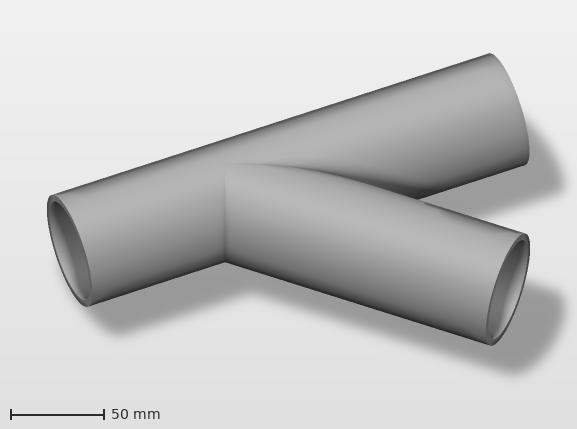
import cadquery as cq
import math

run_length = 254.0
outer_diameter = 63.0
wall_thickness = 3.8
inner_diameter = outer_diameter - 2 * wall_thickness
branch_angle = math.radians(45)
branch_length = 163.8
junction_from_end = 90.2

run_start = (0, -run_length / 2, 0)
run_direction = (0, 1, 0)
junction = (0, junction_from_end - run_length / 2, 0)
branch_direction = (math.sin(branch_angle), math.cos(branch_angle), 0)


def cylinder(start, direction, diameter, length):
    """Solid cylinder whose first end is centred on start."""
    plane = cq.Plane(origin=start, xDir=(0, 0, 1), normal=direction)
    return cq.Workplane(plane).circle(diameter / 2).extrude(length)


def pipe_system(diameter):
    """Run and branch cylinders of one diameter, joined at the junction."""
    run = cylinder(run_start, run_direction, diameter, run_length)
    branch = cylinder(junction, branch_direction, diameter, branch_length)
    return run.union(branch)


result = pipe_system(outer_diameter).cut(pipe_system(inner_diameter))